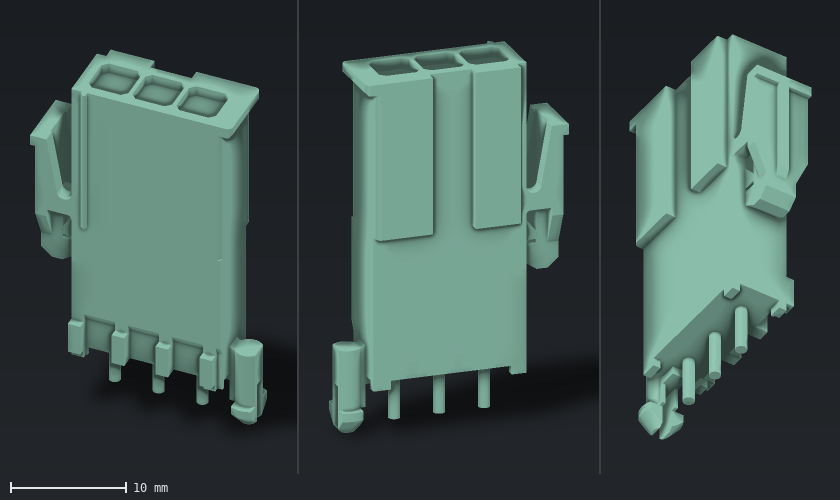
import cadquery as cq


WIDTH = 14.08
DEPTH = 5.6
MID_Y = DEPTH / 2
SPLIT_Z = 13.43
TOP_Z = 27.86
TOTAL_HEIGHT = 32.97

POLES = 3
PITCH = 4.14
POLE_X = [WIDTH / 2 + PITCH * (i - (POLES - 1) / 2) for i in range(POLES)]

CAVITY = 3.75
CAVITY_CHAMFER = 0.5
CAVITY_DEPTH = 1.0
CORNER_RADIUS = 0.5
FLANGE_THICKNESS = 1.0
FLANGE_OVERHANG = 0.98
FLANGE_CHAMFER = 0.25
RAIL_DEPTH = 1.0
RAIL_1_X = (0.87, 5.0)
RAIL_2_START = 8.95
KEY_X = (1.0, 1.51)
KEY_DEPTH = 0.5
KEY_ROOT_Y = 0.5
KEY_CHAMFER = (0.3, 0.25)
KEY_RADIUS = 0.2

LATCH_OUT_X = -3.9
PLATE_OUT_X = -3.4
SHANK_OUT_X = -2.39
SHANK_IN_X = -1.39
LATCH_TOP_Z = 21.7
HEAD_BAR_HEIGHT = 1.0
HEAD_IN_X = -2.35
HINGE_TOP_Z = 15.72
HINGE_BOTTOM_Z = 14.13
HINGE_RADIUS = 0.4
VALLEY_RADIUS = 0.7
PLATE_END_Z = 10.53
TAPER_TOP_Z = 13.4
HOOK_WIDTH = 3.05
HOOK_TIP_X = -0.1
HOOK_CHAMFER_Z = 9.03
HOOK_BOTTOM_Z = 8.16
RIB_WIDTH = 1.0
RIB_CHAMFER_HEIGHT = 0.85
WINDOW_WIDTH = 3.1
WINDOW_OUT_X = -2.49

CATCH_REACH = 1.34
CATCH_TOP_Z = 13.3
CATCH_NOSE_Z = 11.75
CATCH_BOTTOM_Z = 10.94
TAB_WIDTH = 1.18
TAB_DEPTH = 0.76
TAB_HEIGHT = 3.0
TAB_X = [TAB_WIDTH / 2 + PITCH * i for i in range(POLES + 1)]
RECESS_DEPTH = 0.5
RECESS_TOP_Z = 3.88
FOOT_HEIGHT = 0.81
FOOT_DEPTH = 0.75
FOOT_1_WIDTH = 1.33
FOOT_2_WIDTH = 1.6
PIN_DIAMETER = 1.05
PIN_LENGTH = 4.5

PEG_X = 15.58
PEG_RADIUS = 1.28
PEG_TOP_Z = 2.59
PEG_RIGHT_X = 16.53
WEB_WIDTH = 1.56
WEB_CHAMFER = 0.25
BARB_RADIUS = 1.96
BARB_LEFT_X = 14.59
BARB_TIP_RADIUS = 0.78
BARB_TOP_Z = -2.92
BARB_CONE_Z = -3.7
BARB_TIP_Z = TOP_Z - TOTAL_HEIGHT
SLOT_WIDTH = 1.0
SLOT_TOP_Z = -FOOT_HEIGHT


def box(x0, x1, y0, y1, z0, z1):
    """Box between two opposite corners."""
    return cq.Workplane("XY").box(x1 - x0, y1 - y0, z1 - z0, centered=False).translate((x0, y0, z0))


def side_prism(points, width):
    """XZ outline extruded along Y, centred on the block depth."""
    return cq.Workplane("XZ", origin=(0, MID_Y, 0)).polyline(points).close().extrude(width / 2, both=True)


def plug_shell():
    right_back = box(RAIL_2_START, WIDTH, MID_Y, DEPTH + RAIL_DEPTH, SPLIT_Z, TOP_Z)
    shell = box(0, WIDTH, 0, DEPTH, SPLIT_Z, TOP_Z).union(right_back)
    shell = shell.edges("|Z and >X").fillet(CORNER_RADIUS)

    flange_bottom = TOP_Z - FLANGE_THICKNESS
    flange = box(RAIL_2_START, WIDTH + FLANGE_OVERHANG, 0, DEPTH + RAIL_DEPTH, flange_bottom, TOP_Z)
    flange = flange.edges(">X and <Z").chamfer(FLANGE_CHAMFER)
    flange = flange.faces(">X").edges("|Z").fillet(CORNER_RADIUS)

    left_rail = box(*RAIL_1_X, MID_Y, DEPTH + RAIL_DEPTH, SPLIT_Z, TOP_Z)
    return shell.union(flange).union(left_rail)


def front_key():
    left, right = KEY_X
    chamfer_x, chamfer_y = KEY_CHAMFER
    outline = [
        (left, KEY_ROOT_Y),
        (left, chamfer_y - KEY_DEPTH),
        (left + chamfer_x, -KEY_DEPTH),
        (right, -KEY_DEPTH),
        (right, KEY_ROOT_Y),
    ]
    key = cq.Workplane("XY", origin=(0, 0, SPLIT_Z)).polyline(outline).close().extrude(TOP_Z - SPLIT_Z)
    return key.edges("|Z and >X and <Y").fillet(KEY_RADIUS)


def cavities():
    tool = cq.Workplane("XY", origin=(0, 0, TOP_Z - CAVITY_DEPTH)).pushPoints([(x, MID_Y) for x in POLE_X])
    return tool.rect(CAVITY, CAVITY).extrude(CAVITY_DEPTH).edges("|Z").chamfer(CAVITY_CHAMFER)


def latch_plate():
    """Lever plate with its head bar and hinge, narrowed at the lower end and opened by the window."""
    head_bottom = LATCH_TOP_Z - HEAD_BAR_HEIGHT
    valley_z = HINGE_TOP_Z + VALLEY_RADIUS
    joint_bottom = HINGE_BOTTOM_Z - HINGE_RADIUS
    profile = (
        cq.Workplane("XZ")
        .moveTo(LATCH_OUT_X, LATCH_TOP_Z)
        .lineTo(HEAD_IN_X, LATCH_TOP_Z)
        .lineTo(-2 * VALLEY_RADIUS, valley_z)
        .threePointArc((-VALLEY_RADIUS, HINGE_TOP_Z), (0, valley_z))
        .lineTo(0, joint_bottom)
        .radiusArc((-HINGE_RADIUS, HINGE_BOTTOM_Z), -HINGE_RADIUS)
        .lineTo(SHANK_OUT_X, HINGE_BOTTOM_Z)
        .lineTo(SHANK_OUT_X, PLATE_END_Z)
        .lineTo(PLATE_OUT_X, PLATE_END_Z)
        .lineTo(PLATE_OUT_X, head_bottom)
        .lineTo(LATCH_OUT_X, head_bottom)
        .close()
    )
    plate = profile.extrude(-DEPTH)

    half_hook = HOOK_WIDTH / 2
    outline = [
        (0, LATCH_TOP_Z),
        (DEPTH, LATCH_TOP_Z),
        (DEPTH, TAPER_TOP_Z),
        (MID_Y + half_hook, PLATE_END_Z),
        (MID_Y - half_hook, PLATE_END_Z),
        (0, TAPER_TOP_Z),
    ]
    taper = cq.Workplane("YZ", origin=(LATCH_OUT_X, 0, 0)).polyline(outline).close().extrude(-LATCH_OUT_X)
    window_y = (MID_Y - WINDOW_WIDTH / 2, MID_Y + WINDOW_WIDTH / 2)
    window = box(WINDOW_OUT_X, 0, *window_y, HINGE_BOTTOM_Z, LATCH_TOP_Z)
    window = window.union(box(SHANK_IN_X, 0, *window_y, joint_bottom, HINGE_BOTTOM_Z))
    return plate.intersect(taper).cut(window)


def latch_hook():
    outline = [
        (PLATE_OUT_X, HINGE_BOTTOM_Z),
        (SHANK_IN_X, HINGE_BOTTOM_Z),
        (SHANK_IN_X, PLATE_END_Z),
        (HOOK_TIP_X, PLATE_END_Z),
        (HOOK_TIP_X, HOOK_CHAMFER_Z),
        (SHANK_IN_X, HOOK_BOTTOM_Z),
        (SHANK_OUT_X, HOOK_BOTTOM_Z),
        (PLATE_OUT_X, HOOK_CHAMFER_Z),
    ]
    return side_prism(outline, HOOK_WIDTH)


def latch_rib():
    outline = [
        (PLATE_OUT_X, LATCH_TOP_Z),
        (LATCH_OUT_X, LATCH_TOP_Z),
        (LATCH_OUT_X, PLATE_END_Z + RIB_CHAMFER_HEIGHT),
        (PLATE_OUT_X, PLATE_END_Z),
    ]
    return side_prism(outline, RIB_WIDTH)


plug = plug_shell().union(front_key()).cut(cavities())
plug = plug.union(latch_plate()).union(latch_hook()).union(latch_rib())


def catch_ramp():
    outline = [
        (0, CATCH_TOP_Z),
        (-CATCH_REACH, CATCH_NOSE_Z),
        (-CATCH_REACH, CATCH_BOTTOM_Z),
        (0, CATCH_BOTTOM_Z),
    ]
    return side_prism(outline, HOOK_WIDTH)


def feet():
    """Feet at the four corners, and one under the root of the peg web."""
    right_start = WIDTH - FOOT_2_WIDTH
    solid = box(right_start, WIDTH, MID_Y - WEB_WIDTH / 2, MID_Y + WEB_WIDTH / 2, -FOOT_HEIGHT, 0)
    for x0, x1 in [(0, FOOT_1_WIDTH), (right_start, WIDTH)]:
        for y0 in (0, DEPTH - FOOT_DEPTH):
            solid = solid.union(box(x0, x1, y0, y0 + FOOT_DEPTH, -FOOT_HEIGHT, 0))
    return solid


def front_recesses():
    """Recess to the right of each tab, with a sloped roof; the last one is open at the right end."""
    outline = [
        (0, -FOOT_HEIGHT),
        (RECESS_DEPTH, -FOOT_HEIGHT),
        (RECESS_DEPTH, TAB_HEIGHT),
        (0, RECESS_TOP_Z),
    ]
    tool = cq.Workplane("XY")
    for tab_x in TAB_X:
        start = tab_x + TAB_WIDTH / 2
        recess = cq.Workplane("YZ", origin=(start, 0, 0)).polyline(outline).close().extrude(PITCH - TAB_WIDTH)
        tool = tool.add(recess)
    return tool.combine()


def front_tabs():
    tabs = cq.Workplane("XY").pushPoints([(x, (RECESS_DEPTH - TAB_DEPTH) / 2) for x in TAB_X])
    return tabs.rect(TAB_WIDTH, RECESS_DEPTH + TAB_DEPTH).extrude(TAB_HEIGHT)


def contact_pins():
    pins = cq.Workplane("XY").pushPoints([(x, MID_Y) for x in POLE_X])
    return pins.circle(PIN_DIAMETER / 2).extrude(-PIN_LENGTH)


def board_peg():
    web = side_prism(
        [
            (WIDTH, PEG_TOP_Z + WEB_CHAMFER),
            (WIDTH + WEB_CHAMFER, PEG_TOP_Z),
            (PEG_X, PEG_TOP_Z),
            (PEG_X, BARB_TOP_Z),
            (WIDTH, BARB_TOP_Z),
        ],
        WEB_WIDTH,
    )
    post_height = PEG_TOP_Z - BARB_TOP_Z
    post = cq.Workplane("XY", origin=(PEG_X, MID_Y, BARB_TOP_Z)).circle(PEG_RADIUS).extrude(post_height)

    barb_profile = [
        (0, BARB_TOP_Z),
        (BARB_RADIUS, BARB_TOP_Z),
        (BARB_RADIUS, BARB_CONE_Z),
        (BARB_TIP_RADIUS, BARB_TIP_Z),
        (0, BARB_TIP_Z),
    ]
    barb = cq.Workplane("XZ").polyline(barb_profile).close().revolve(360, (0, 0, 0), (0, 1, 0))
    barb = barb.translate((PEG_X, MID_Y, 0))
    barb = barb.intersect(box(BARB_LEFT_X, PEG_RIGHT_X, 0, DEPTH, BARB_TIP_Z, BARB_TOP_Z))

    slot_y = (MID_Y - SLOT_WIDTH / 2, MID_Y + SLOT_WIDTH / 2)
    slot = box(WIDTH, PEG_RIGHT_X, *slot_y, BARB_TIP_Z, SLOT_TOP_Z)
    post = post.intersect(box(WIDTH, PEG_RIGHT_X, 0, DEPTH, BARB_TOP_Z, PEG_TOP_Z))
    return web.union(post).union(barb).cut(slot)


header = box(0, WIDTH, 0, DEPTH, 0, SPLIT_Z).union(feet()).cut(front_recesses())
header = header.union(front_tabs()).union(catch_ramp()).union(contact_pins()).union(board_peg())

result = cq.Compound.makeCompound([plug.solids().val(), header.solids().val()])